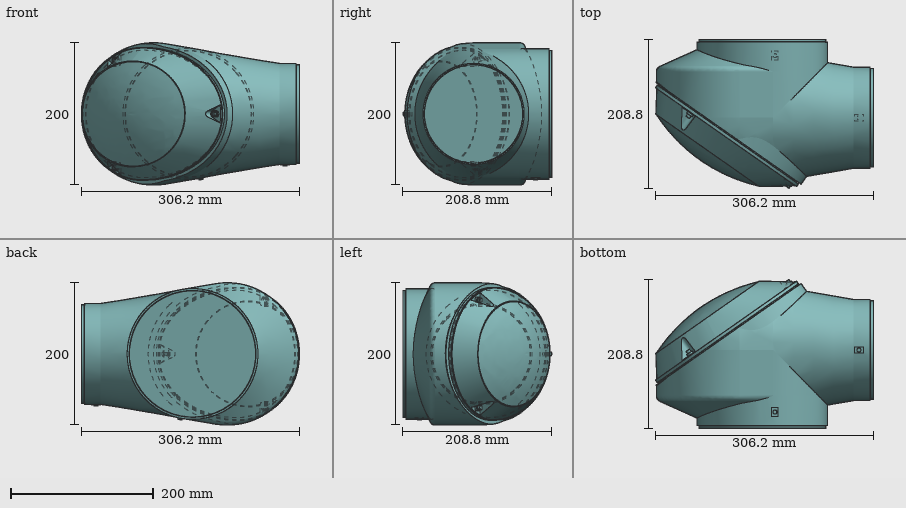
import cadquery as cq
import math


BODY_R = 100.0
PORT1_R = 91.75
PORT1_COLLAR_END = 105.9
PORT1_LIP_END = 109.8
PORT1_LIP_R = 89.0
PORT2_R = 71.0
PORT2_COLLAR_START = 128.5
PORT2_COLLAR_END = 151.2
PORT2_LIP_END = 156.0
PORT2_LIP_R = 69.3
LIP_NECK_WIDTH = 0.8
LIP_NECK_DEPTH = 0.7

CONE_END_DISTANCE = math.hypot(PORT2_R, PORT2_COLLAR_START)
FLARE = math.asin(PORT1_R / CONE_END_DISTANCE) - math.atan2(PORT2_R, PORT2_COLLAR_START)
SIN_FLARE = math.sin(FLARE)
COS_FLARE = math.cos(FLARE)
BODY_X = -(BODY_R - PORT1_R) / SIN_FLARE

ROOF_BASE_Y = 69.9
ROOF_SLOPE = 0.45
ROOF_INSET = 64.0
ROOF_EDGE_R = 8.4

LID_TILT = 35.0
FLANGE_FACE_N = 45.2
FLANGE_DEPTH = 28.0
FLANGE_SIZE = (-150.8, -35.0, 98.2, 95.7)
GASKET_INSET = 4.0
RING_START_N = 47.0
RING_SIZE = (-147.25, -43.0, 94.9, 93.4)
WALL_START_N = 51.5
WALL_SIZE = (-144.8, -43.0, 93.7, 92.3)
WALL_END_N = 81.6
WALL_END_SIZE = (-125.4, -39.0, 52.0, 74.4)
DOME_HEIGHT = 17.0
DOME_STEP = 1.2

LID_SCREWS = ((84.4, 0.0, 0.0), (-86.0, 75.5, 118.0), (-86.0, -75.5, -118.0))
POCKET_FLOOR_N = 52.5
POCKET_OUTER = 8.5
POCKET_HALF_WIDTH = 13.8
POCKET_TIP_R = 5.0
POCKET_TIP = 9.3
SCREW_HEAD_R = 4.6
SCREW_HEAD_N = 55.5
SCREW_TIP_R = 3.0
SCREW_TIP_N = 59.6

CLIP_LENGTH = 12.5
CLIP_WIDTH = 9.0
CLIP_RISE = 0.3
NUB_R = 2.8
NUB_RISE = 2.3
PORT1_CLIP_Y = 87.0
PORT1_CLIP_ANGLE = 11.0
PORT2_CLIP_X = 135.5
CLIP_EMBED = 5.0


def tangent_point(center_x, radius):
    """Where the flared side touches a circle on the X axis: X and distance from the axis."""
    return center_x + radius * SIN_FLARE, radius * COS_FLARE


def hull_wire(y, inset=0.0):
    """Outline around the body circle and the port 1 circle, both shrunk by inset."""
    body_r = BODY_R - inset
    port_r = PORT1_R - inset
    body_x, body_z = tangent_point(BODY_X, body_r)
    port_x, port_z = tangent_point(0, port_r)
    body_top, body_low = cq.Vector(body_x, y, body_z), cq.Vector(body_x, y, -body_z)
    port_top, port_low = cq.Vector(port_x, y, port_z), cq.Vector(port_x, y, -port_z)
    edges = [
        cq.Edge.makeLine(body_top, port_top),
        cq.Edge.makeThreePointArc(port_top, cq.Vector(port_r, y, 0), port_low),
        cq.Edge.makeLine(port_low, body_low),
        cq.Edge.makeThreePointArc(body_low, cq.Vector(BODY_X - body_r, y, 0), body_top),
    ]
    return cq.Wire.assembleEdges(edges)


def loft(wires):
    """Solid with straight walls between two outlines."""
    return cq.Workplane(cq.Solid.makeLoft(wires, True))


def make_upper_body():
    """Straight sides along Y, closed by a roof of constant slope with a rounded left edge."""
    roof_top = ROOF_BASE_Y + ROOF_INSET * ROOF_SLOPE
    sides = cq.Workplane(cq.Solid.extrudeLinear(hull_wire(0), [], cq.Vector(0, ROOF_BASE_Y, 0)))
    roof = loft([hull_wire(ROOF_BASE_Y), hull_wire(roof_top, ROOF_INSET)])
    body = sides.union(roof)
    left_edge = cq.selectors.NearestToPointSelector((BODY_X - BODY_R, ROOF_BASE_Y, 0))
    return body.edges(left_edge).fillet(ROOF_EDGE_R)


def make_lower_body():
    """Half turn about X of the sphere and the flared sides below Y = 0, up to the cone of port 2."""
    body_x, body_r = tangent_point(BODY_X, BODY_R)
    cone_x, cone_r = tangent_point(0, PORT1_R)
    half_root = math.sqrt(0.5)
    profile = (
        cq.Workplane("XY")
        .moveTo(BODY_X - BODY_R, 0)
        .threePointArc((BODY_X - BODY_R * half_root, BODY_R * half_root), (body_x, body_r))
        .lineTo(cone_x, cone_r)
        .lineTo(cone_x, 0)
        .close()
    )
    return profile.revolve(180, (0, 0, 0), (1, 0, 0)).rotate((0, 0, 0), (1, 0, 0), 90)


def lip_profile(outer_r, collar_start, collar_end, lip_r, lip_end):
    """Half section of a port with a necked lip: local x = radius, local y = along the axis."""
    neck_r = lip_r - LIP_NECK_DEPTH
    neck_end = collar_end + LIP_NECK_WIDTH
    return [
        (0, collar_start),
        (outer_r, collar_start),
        (outer_r, collar_end),
        (neck_r, collar_end),
        (neck_r, neck_end),
        (lip_r, neck_end),
        (lip_r, lip_end),
        (0, lip_end),
    ]


def make_port1():
    points = lip_profile(PORT1_R, 0, PORT1_COLLAR_END, PORT1_LIP_R, PORT1_LIP_END)
    return cq.Workplane("XY").polyline(points).close().revolve(360, (0, 0, 0), (0, 1, 0))


def make_port2():
    """Cone, collar and lip around X."""
    cone_x, cone_r = tangent_point(0, PORT1_R)
    points = lip_profile(PORT2_R, PORT2_COLLAR_START, PORT2_COLLAR_END, PORT2_LIP_R, PORT2_LIP_END)
    section = [(0, cone_x), (cone_r, cone_x)] + points[1:]
    flipped = [(along, radius) for radius, along in section]
    return cq.Workplane("XY").polyline(flipped).close().revolve(360, (0, 0, 0), (1, 0, 0))


def lid_plane(n):
    """Plane across the lid at height n: local x = u, local y = Z, normal = outward."""
    tilt = math.radians(LID_TILT)
    normal = cq.Vector(-math.sin(tilt), -math.cos(tilt), 0)
    along = cq.Vector(math.cos(tilt), -math.sin(tilt), 0)
    return cq.Plane(origin=normal * n, xDir=along, normal=normal)


def egg_wire(n, size, inset=0.0):
    """Two half ellipses of equal width that meet at the widest point."""
    left_end, widest, right_end, half_width = size
    plane = lid_plane(n)
    center = plane.toWorldCoords((widest, 0))
    width = half_width - inset
    right = right_end - widest - inset
    left = widest - left_end - inset
    right_half = cq.Edge.makeEllipse(right, width, center, plane.zDir, plane.xDir, -90, 90)
    left_half = cq.Edge.makeEllipse(left, width, center, plane.zDir, plane.xDir, 90, 270)
    return cq.Wire.assembleEdges([right_half, left_half])


def egg_prism(start_n, end_n, size, inset=0.0):
    rise = lid_plane(end_n).origin - lid_plane(start_n).origin
    return cq.Workplane(cq.Solid.extrudeLinear(egg_wire(start_n, size, inset), [], rise))


def make_dome():
    """Cap of a sphere, stretched to an ellipse over the end of the lid wall."""
    left_end, _, right_end, half_width = WALL_END_SIZE
    half_length = (right_end - left_end) / 2 - DOME_STEP
    sphere_r = (half_length ** 2 + DOME_HEIGHT ** 2) / (2 * DOME_HEIGHT)
    sagitta_at_mid = sphere_r - math.sqrt(sphere_r ** 2 - (half_length / 2) ** 2)
    cap = (
        cq.Workplane("XZ")
        .moveTo(0, 0)
        .lineTo(half_length, 0)
        .threePointArc((half_length / 2, DOME_HEIGHT - sagitta_at_mid), (0, DOME_HEIGHT))
        .close()
        .revolve(360, (0, 0, 0), (0, 1, 0))
    )
    squeeze = (half_width - DOME_STEP) / half_length
    stretched = cap.val().transformGeometry(
        cq.Matrix([[1, 0, 0, 0], [0, squeeze, 0, 0], [0, 0, 1, 0], [0, 0, 0, 1]])
    )
    plane = lid_plane(WALL_END_N)
    center = plane.toWorldCoords(((left_end + right_end) / 2, 0))
    seat = cq.Plane(origin=center, xDir=plane.xDir, normal=plane.zDir)
    return cq.Workplane(stretched.located(cq.Location(seat)))


def screw_plane(n, u, z, direction):
    """Plane at a lid screw, local x toward the wide end of its pocket."""
    return cq.Workplane(lid_plane(n)).center(u, z).transformed(rotate=(0, 0, direction))


def make_pocket(u, z, direction):
    """Triangle that widens toward the rim and has a round tip."""
    tip_center = POCKET_TIP_R - POCKET_TIP
    run = POCKET_OUTER - tip_center
    corner_distance = math.hypot(POCKET_HALF_WIDTH, run)
    side_angle = math.atan2(POCKET_HALF_WIDTH, run) - math.asin(POCKET_TIP_R / corner_distance)
    tip_x = tip_center - POCKET_TIP_R * math.sin(side_angle)
    tip_y = POCKET_TIP_R * math.cos(side_angle)
    return (
        screw_plane(POCKET_FLOOR_N, u, z, direction)
        .moveTo(POCKET_OUTER, POCKET_HALF_WIDTH)
        .lineTo(tip_x, tip_y)
        .threePointArc((-POCKET_TIP, 0), (tip_x, -tip_y))
        .lineTo(POCKET_OUTER, -POCKET_HALF_WIDTH)
        .close()
        .extrude(WALL_END_N - POCKET_FLOOR_N)
    )


def make_lid_screw(u, z, direction):
    base = screw_plane(WALL_START_N, u, z, direction)
    head = base.circle(SCREW_HEAD_R).extrude(SCREW_HEAD_N - WALL_START_N)
    tip = base.circle(SCREW_TIP_R).extrude(SCREW_TIP_N - WALL_START_N)
    return head.union(tip)


def make_lid():
    gasket = egg_prism(FLANGE_FACE_N, RING_START_N, RING_SIZE, GASKET_INSET)
    ring = egg_prism(RING_START_N, WALL_START_N, RING_SIZE)
    wall = loft([egg_wire(WALL_START_N, WALL_SIZE), egg_wire(WALL_END_N, WALL_END_SIZE)])
    for screw in LID_SCREWS:
        wall = wall.cut(make_pocket(*screw))
    lid = gasket.union(ring).union(wall).union(make_dome())
    for screw in LID_SCREWS:
        lid = lid.union(make_lid_screw(*screw))
    return lid


def make_collar_clip(port_r, length_x, length_y):
    """Flat clip with a screw nub on the underside of a port of radius port_r."""
    base = cq.Workplane("XY").workplane(offset=CLIP_EMBED - port_r)
    clip = base.rect(length_x, length_y).extrude(-CLIP_EMBED - CLIP_RISE)
    nub = base.circle(NUB_R).extrude(-CLIP_EMBED - NUB_RISE)
    return clip.union(nub)


def make_port1_clip():
    clip = make_collar_clip(PORT1_R, CLIP_WIDTH, CLIP_LENGTH)
    turned = clip.rotate((0, 0, 0), (0, 1, 0), -PORT1_CLIP_ANGLE)
    return turned.translate((0, PORT1_CLIP_Y, 0))


def make_port2_clip():
    return make_collar_clip(PORT2_R, CLIP_LENGTH, CLIP_WIDTH).translate((PORT2_CLIP_X, 0, 0))


def make_lid_side():
    """Everything on the outer side of the flange face, to be cut from the housing."""
    reach = 2 * (PORT2_LIP_END - BODY_X + BODY_R)
    return cq.Workplane(lid_plane(FLANGE_FACE_N)).rect(reach, reach).extrude(reach)


def make_part():
    """Cut every housing piece at the flange face, then join all pieces in one fuse."""
    lid_side = make_lid_side()
    pieces = [make_lower_body(), make_port1(), make_port2()]
    pieces = [piece.cut(lid_side) for piece in pieces]
    pieces.append(egg_prism(FLANGE_FACE_N - FLANGE_DEPTH, FLANGE_FACE_N, FLANGE_SIZE))
    pieces += [make_lid(), make_port1_clip(), make_port2_clip()]
    upper_body = make_upper_body().cut(lid_side)
    joined = upper_body.val().fuse(*[piece.val() for piece in pieces])
    return cq.Workplane(joined.Solids()[0])


result = make_part()